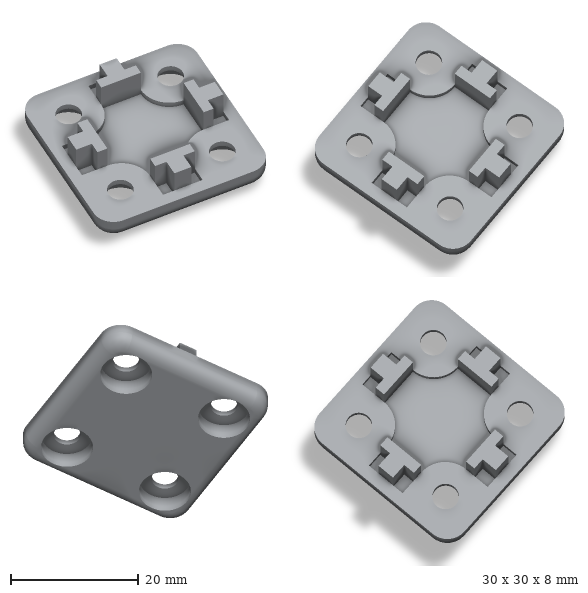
import cadquery as cq

side = 30.0
plate_height = 4.0
corner_radius = 3.5
bottom_fillet = 2.25

hole_offset = 9.0
hole_diameter = 4.2
counterbore_diameter = 8.2
flange_thickness = 1.0

pocket_depth = 1.0
arm_width = 7.0
arm_reach = 13.0
inner_corner_radius = 5.0

total_height = 8.0
bar_thickness = 1.75
stem_width = 3.0

tab_inner = arm_width / 2 + inner_corner_radius
pocket_floor = plate_height - pocket_depth


def make_plate():
    plate = cq.Workplane("XY").rect(side, side).extrude(plate_height)
    plate = plate.edges("|Z").fillet(corner_radius)
    return plate.faces("<Z").edges().fillet(bottom_fillet)


def make_holes():
    corners = cq.Workplane("XY").rect(2 * hole_offset, 2 * hole_offset, forConstruction=True).vertices()
    through = corners.circle(hole_diameter / 2).extrude(plate_height)
    counterbores = corners.circle(counterbore_diameter / 2).extrude(plate_height - flange_thickness)
    return through.union(counterbores)


def make_pocket():
    base = cq.Workplane("XY").workplane(offset=pocket_floor)
    arm_x = base.rect(2 * arm_reach, arm_width).extrude(pocket_depth)
    arm_y = base.rect(arm_width, 2 * arm_reach).extrude(pocket_depth)
    centre = base.rect(2 * tab_inner, 2 * tab_inner).extrude(pocket_depth)
    lobes = (
        base.rect(2 * tab_inner, 2 * tab_inner, forConstruction=True)
        .vertices()
        .circle(inner_corner_radius)
        .extrude(pocket_depth)
    )
    return centre.cut(lobes).union(arm_x).union(arm_y)


def make_tab():
    """T-shaped tab at the +X end, with its bar facing the centre."""
    height = total_height - pocket_floor
    tab_depth = arm_reach - tab_inner
    bar = cq.Workplane("XY").box(bar_thickness, arm_width, height, centered=(False, True, False))
    stem = cq.Workplane("XY").box(tab_depth, stem_width, height, centered=(False, True, False))
    return bar.union(stem).translate((tab_inner, 0, pocket_floor))


result = make_plate().cut(make_holes()).cut(make_pocket())
for angle in (0, 90, 180, 270):
    result = result.union(make_tab().rotate((0, 0, 0), (0, 0, 1), angle))